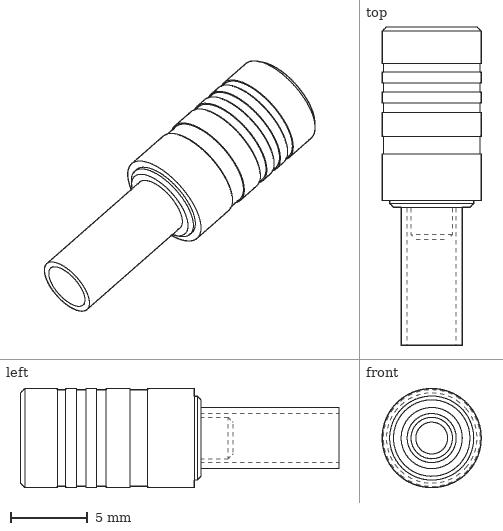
import cadquery as cq

total_length = 20.8
body_radius = 3.25
body_length = 11.35
back_chamfer = 0.3

groove_depth = 0.08
grooves = [(2.41, 2.95), (3.66, 4.26), (4.97, 5.6), (7.15, 8.3)]

collar_radius = 2.75
collar_length = 0.44
collar_chamfer = 0.25

tube_radius = 2.0
bore_radius = 1.6

pin_radius = 1.35
pin_length = 2.08
pin_chamfer = 0.31

back_y = total_length / 2
collar_end = body_length + collar_length


def cylinder(radius, start, end):
    """Solid cylinder on the Y axis between two distances from the back end."""
    plane = cq.Workplane("XZ", origin=(0, back_y - start, 0))
    return plane.circle(radius).extrude(end - start)


def groove_ring(start, end):
    """Ring of material removed to form one groove."""
    core = cylinder(body_radius - groove_depth, start, end)
    return cylinder(body_radius + groove_depth, start, end).cut(core)


body = cylinder(body_radius, 0, body_length).faces(">Y").chamfer(back_chamfer)
for start, end in grooves:
    body = body.cut(groove_ring(start, end))

collar = cylinder(collar_radius, body_length, collar_end).faces("<Y").chamfer(collar_chamfer)
tube = cylinder(tube_radius, collar_end, total_length)

bore = cylinder(bore_radius, collar_end, total_length)
pin = cylinder(pin_radius, collar_end, collar_end + pin_length).faces("<Y").chamfer(pin_chamfer)

result = body.union(collar).union(tube).cut(bore).union(pin)